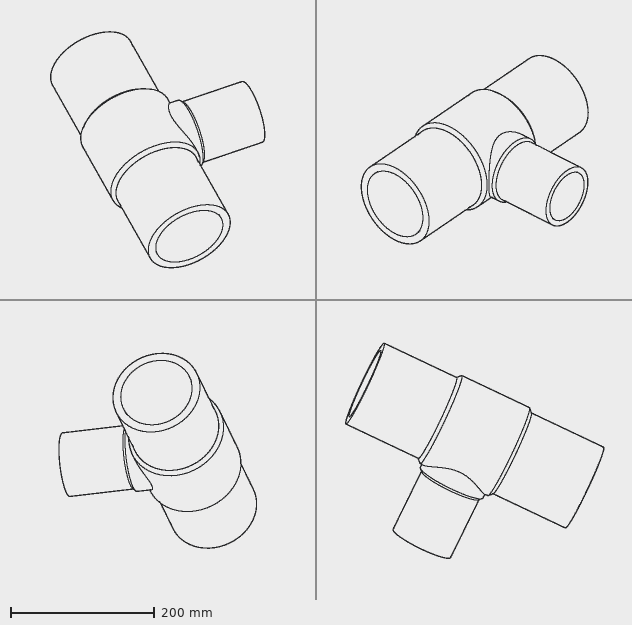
import cadquery as cq

run_length = 340.0
run_diameter = 125.0
run_bore = 102.5
run_collar_diameter = 136.5
run_collar_length = 115.5
run_chamfer = 5.5

branch_reach = 170.0
branch_diameter = 89.8
branch_wall = 8.0
branch_bore = branch_diameter - 2 * branch_wall
branch_collar_diameter = 97.5
branch_collar_reach = 78.2
branch_chamfer = 4.0


def run_cylinder(diameter, length):
    """Cylinder along X, centred on the origin."""
    return cq.Workplane("YZ").circle(diameter / 2).extrude(length / 2, both=True)


def branch_cylinder(diameter, reach):
    """Cylinder from the main axis out to y = reach."""
    return cq.Workplane("XZ").circle(diameter / 2).extrude(-reach)


run_collar = run_cylinder(run_collar_diameter, run_collar_length).faces("<X or >X").chamfer(run_chamfer)
branch_collar = branch_cylinder(branch_collar_diameter, branch_collar_reach).faces(">Y").chamfer(branch_chamfer)

body = (
    run_cylinder(run_diameter, run_length)
    .union(run_collar)
    .union(branch_cylinder(branch_diameter, branch_reach))
    .union(branch_collar)
)

result = body.cut(run_cylinder(run_bore, run_length)).cut(branch_cylinder(branch_bore, branch_reach))